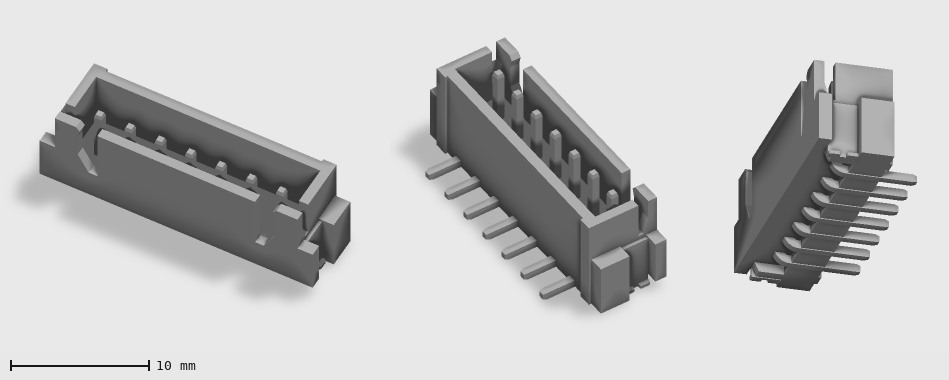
import cadquery as cq
import math

LENGTH = 22.5
TOP_Z = 7.75

SHROUD_LENGTH = 20.0
SHROUD_BACK_Y = 5.7
HOUSING_BOTTOM_Z = 0.07
END_WALL = 0.76
FRONT_WALL = 0.76
BACK_WALL = 0.83
FLOOR_Z = 2.95
BACK_PAD_WIDTH = 1.1
BACK_PAD_DEPTH = 0.22

FRONT_BOTTOM_Z = 0.79
FLANGE_THICKNESS = 0.97
FOOT_WIDTH = 0.8
FOOT_LEAN_ANGLE = 25.0

WING_TOP_Z = 4.5
WING_FRONT_Y = 3.2

SLOT_INNER_X = 6.5
SLOT_TOE_X = 7.22
SLOT_SIDE_X = 8.12
SLOT_NECK_X = 7.95
SLOT_MOUTH_X = 8.25
SLOT_BOTTOM_Z = 3.22
SLOT_RAMP_TOP_Z = 4.75
SLOT_SIDE_TOP_Z = 6.7
SLOT_NECK_Z = 7.38

NOTCH_BACK_Y = 1.62
NOTCH_TOE_Y = 1.17
NOTCH_BOTTOM_Z = 4.68
NOTCH_RAMP_TOP_Z = 6.08

PIN_COUNT = 7
PIN_PITCH = 2.5
PIN_SIZE = 0.63
PIN_Y = 2.2
PIN_TOP_Z = 7.4
PIN_TAIL_Y = 8.4
PIN_BEND_RADIUS = 1.12
PIN_TIP_LENGTH = 0.32
PIN_TIP_INSET = 0.079

ANCHOR_THICKNESS = 0.27
ANCHOR_TOP_Z = 4.32
ANCHOR_REACH = 0.63
ANCHOR_GAP = 0.5
ANCHOR_CORNER_RADIUS = 0.14

HALF_SHROUD = SHROUD_LENGTH / 2
PIN_FRONT_Y = PIN_Y - PIN_SIZE / 2


def box(x0, x1, y0, y1, z0, z1):
    """Axis-aligned box between two opposite corners."""
    return cq.Workplane("XY").box(x1 - x0, y1 - y0, z1 - z0, centered=False).translate((x0, y0, z0))


def mirrored(shape):
    """Mirror image of a shape on the other end of the part."""
    return shape.mirror("YZ")


def pin_centers():
    return [(i - (PIN_COUNT - 1) / 2) * PIN_PITCH for i in range(PIN_COUNT)]


def make_pin(x):
    """Square pin standing in the shroud, bent back into a horizontal tail."""
    back_y = PIN_FRONT_Y + PIN_SIZE
    inner_radius = PIN_BEND_RADIUS - PIN_SIZE
    half = PIN_SIZE / 2
    diagonal = math.sqrt(0.5)
    bend_y = PIN_FRONT_Y + PIN_BEND_RADIUS
    bend_z = PIN_BEND_RADIUS
    outer_mid = (bend_y - PIN_BEND_RADIUS * diagonal, bend_z - PIN_BEND_RADIUS * diagonal)
    inner_mid = (bend_y - inner_radius * diagonal, bend_z - inner_radius * diagonal)
    shank_top = PIN_TOP_Z - PIN_TIP_LENGTH
    shank_end = PIN_TAIL_Y - PIN_TIP_LENGTH
    shank = (
        cq.Workplane("YZ")
        .moveTo(PIN_FRONT_Y, shank_top)
        .lineTo(PIN_FRONT_Y, bend_z)
        .threePointArc(outer_mid, (bend_y, 0))
        .lineTo(shank_end, 0)
        .lineTo(shank_end, PIN_SIZE)
        .lineTo(bend_y, PIN_SIZE)
        .threePointArc(inner_mid, (back_y, bend_z))
        .lineTo(back_y, shank_top)
        .close()
        .extrude(half, both=True)
    )
    tip_size = PIN_SIZE - 2 * PIN_TIP_INSET
    tip = (
        cq.Workplane("XY")
        .rect(PIN_SIZE, PIN_SIZE)
        .workplane(offset=PIN_TIP_LENGTH)
        .rect(tip_size, tip_size)
        .loft(ruled=True)
    )
    top_tip = tip.translate((0, PIN_Y, shank_top))
    tail_tip = tip.rotate((0, 0, 0), (1, 0, 0), -90).translate((0, shank_end, half))
    return shank.union(top_tip).union(tail_tip).translate((x, 0, 0))


def make_left_anchor():
    """Flat plate on the end of the shroud with two feet turned outward."""
    plate_x = -HALF_SHROUD - ANCHOR_THICKNESS
    foot_x = -HALF_SHROUD - ANCHOR_REACH
    plate = box(plate_x, -HALF_SHROUD, FLANGE_THICKNESS, WING_FRONT_Y, 0, ANCHOR_TOP_Z)
    foot = box(foot_x, plate_x, FLANGE_THICKNESS, WING_FRONT_Y, 0, ANCHOR_THICKNESS)
    middle_y = (FLANGE_THICKNESS + WING_FRONT_Y) / 2
    gap = box(foot_x, plate_x, middle_y - ANCHOR_GAP / 2, middle_y + ANCHOR_GAP / 2, 0, ANCHOR_THICKNESS)
    foot = foot.cut(gap).edges("|Z and <X").fillet(ANCHOR_CORNER_RADIUS)
    return plate.union(foot)


def front_slot():
    """Slot through the left part of the front wall, open at the top."""
    return (
        cq.Workplane("XZ")
        .polyline([
            (-SLOT_MOUTH_X, TOP_Z),
            (-SLOT_NECK_X, SLOT_NECK_Z),
            (-SLOT_SIDE_X, SLOT_SIDE_TOP_Z),
            (-SLOT_SIDE_X, SLOT_RAMP_TOP_Z),
            (-SLOT_TOE_X, SLOT_BOTTOM_Z),
            (-SLOT_INNER_X, SLOT_BOTTOM_Z),
            (-SLOT_INNER_X, TOP_Z),
        ])
        .close()
        .extrude(-FRONT_WALL)
    )


def end_wall_notches():
    """Ramped notch through both end walls just behind the front wall."""
    return (
        cq.Workplane("YZ")
        .polyline([
            (NOTCH_BACK_Y, TOP_Z),
            (NOTCH_BACK_Y, NOTCH_BOTTOM_Z),
            (NOTCH_TOE_Y, NOTCH_BOTTOM_Z),
            (FRONT_WALL, NOTCH_RAMP_TOP_Z),
            (FRONT_WALL, TOP_Z),
        ])
        .close()
        .extrude(HALF_SHROUD, both=True)
    )


def front_undercut():
    """Recess under the front wall that leaves a foot with a leaning face at each end."""
    half_center = HALF_SHROUD - FOOT_WIDTH
    lean = (FRONT_BOTTOM_Z - HOUSING_BOTTOM_Z) * math.tan(math.radians(FOOT_LEAN_ANGLE))
    center = box(-half_center, half_center, 0, WING_FRONT_Y, HOUSING_BOTTOM_Z, FRONT_BOTTOM_Z)
    full_width = (
        cq.Workplane("YZ")
        .polyline([
            (0, HOUSING_BOTTOM_Z),
            (FLANGE_THICKNESS + lean, HOUSING_BOTTOM_Z),
            (FLANGE_THICKNESS, FRONT_BOTTOM_Z),
            (0, FRONT_BOTTOM_Z),
        ])
        .close()
        .extrude(HALF_SHROUD, both=True)
    )
    return center.union(full_width)


def make_housing(pins):
    half_cavity = HALF_SHROUD - END_WALL
    body = box(-HALF_SHROUD, HALF_SHROUD, 0, SHROUD_BACK_Y, HOUSING_BOTTOM_Z, TOP_Z)

    wing = box(-LENGTH / 2, -HALF_SHROUD, WING_FRONT_Y, SHROUD_BACK_Y, HOUSING_BOTTOM_Z, WING_TOP_Z)
    flange = box(-LENGTH / 2, -HALF_SHROUD, 0, FLANGE_THICKNESS, FRONT_BOTTOM_Z, WING_TOP_Z)
    back_pad = box(-HALF_SHROUD, -HALF_SHROUD + BACK_PAD_WIDTH, SHROUD_BACK_Y,
                   SHROUD_BACK_Y + BACK_PAD_DEPTH, HOUSING_BOTTOM_Z, TOP_Z)
    for block in (wing, flange, back_pad):
        body = body.union(block).union(mirrored(block))

    body = body.cut(box(-half_cavity, half_cavity, FRONT_WALL, SHROUD_BACK_Y - BACK_WALL, FLOOR_Z, TOP_Z))
    slot = front_slot()
    body = body.cut(slot).cut(mirrored(slot))
    body = body.cut(end_wall_notches())
    body = body.cut(front_undercut())
    for pin in pins:
        body = body.cut(pin)
    return body


pins = [make_pin(x) for x in pin_centers()]
left_anchor = make_left_anchor()
anchors = [left_anchor, mirrored(left_anchor)]
housing = make_housing(pins)

result = cq.Compound.makeCompound([
    housing.val(),
    *[pin.val() for pin in pins],
    *[anchor.val() for anchor in anchors],
])